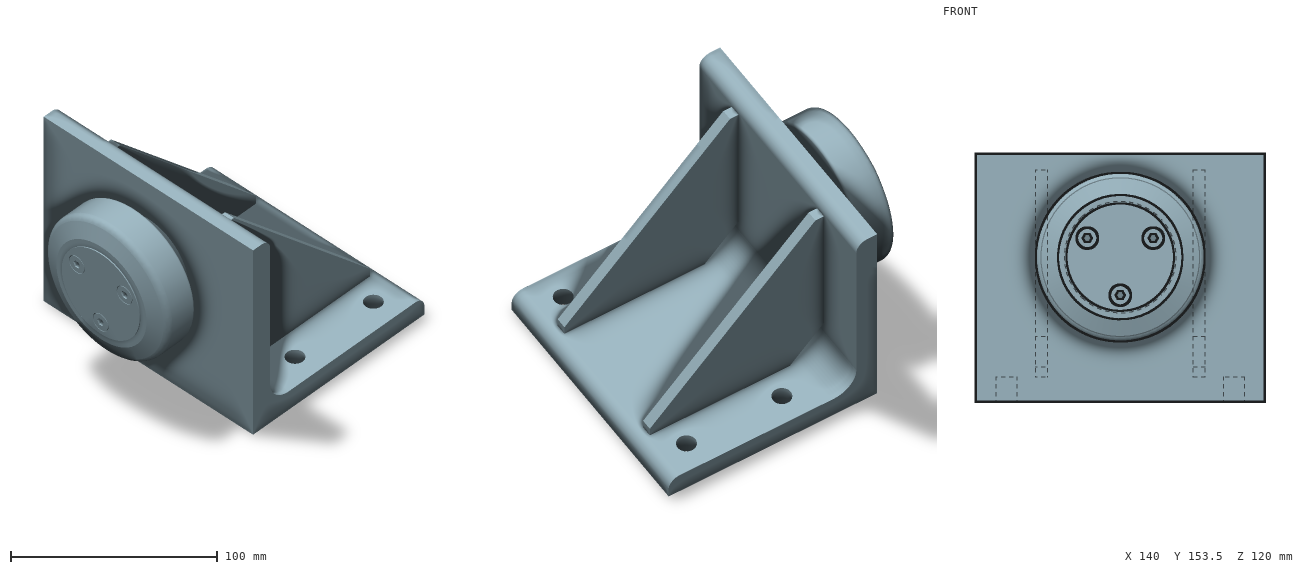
import cadquery as cq
import math

width = 140.0
leg = 120.0
thickness = 12.0
root_radius = 13.0
toe_radius = 6.5

rib_thickness = 6.0
rib_offset = 38.0
rib_setback = 7.8
rib_end_height = 4.9
rib_corner_cut = 19.6

hole_diameter = 10.1
hole_pitch_x = 109.9
hole_pitch_y = 55.0
hole_edge_distance = 20.0

overall_depth = 153.5
roller_height = 70.0
boss_diameter = 54.0
boss_length = 8.9
pin_diameter = 52.0
pin_end = overall_depth - leg
wheel_diameter = 81.7
wheel_back = 10.0
wheel_shoulder = 28.7
wheel_front = 32.8
wheel_face_diameter = 60.2
wheel_back_radius = 1.5
edge_pick_margin = 0.2
wheel_front_radius = 3.8

screw_count = 3
screw_circle_radius = 18.4
screw_bore_diameter = 10.5
screw_head_diameter = 9.8
screw_recess_depth = 1.5
socket_sides = 6
socket_corner_diameter = 4.5
socket_depth = 2.0


def make_bracket():
    """L-section with a rounded root and rounded toes."""
    profile = (
        cq.Workplane("YZ")
        .moveTo(0, 0)
        .lineTo(leg, 0)
        .lineTo(leg, thickness - toe_radius)
        .radiusArc((leg - toe_radius, thickness), -toe_radius)
        .lineTo(thickness + root_radius, thickness)
        .radiusArc((thickness, thickness + root_radius), root_radius)
        .lineTo(thickness, leg - toe_radius)
        .radiusArc((thickness - toe_radius, leg), -toe_radius)
        .lineTo(0, leg)
        .close()
    )
    return profile.extrude(width / 2, both=True)


def make_rib(x_center):
    """Sloping web between the legs, cut back to clear the root."""
    far_end = leg - rib_setback
    outline = [
        (thickness + rib_corner_cut, thickness),
        (far_end, thickness),
        (far_end, thickness + rib_end_height),
        (thickness + rib_end_height, far_end),
        (thickness, far_end),
        (thickness, thickness + rib_corner_cut),
    ]
    rib = cq.Workplane("YZ").polyline(outline).close().extrude(rib_thickness / 2, both=True)
    return rib.translate((x_center, 0, 0))


def make_mounting_holes():
    """Four cutters through the base."""
    hole_center_y = leg - hole_edge_distance - hole_pitch_y / 2
    return (
        cq.Workplane("XY")
        .center(0, hole_center_y)
        .rarray(hole_pitch_x, hole_pitch_y, 2, 2)
        .circle(hole_diameter / 2)
        .extrude(thickness)
    )


def roller_plane(distance):
    """Plane across the roller axis, at a distance out from the wall."""
    return cq.Workplane("XZ", origin=(0, -distance, roller_height))


def make_wheel():
    """Wheel with a rounded back edge and a rounded, tapered front."""
    wheel_radius = wheel_diameter / 2
    profile = [
        (0, -wheel_back),
        (wheel_radius, -wheel_back),
        (wheel_radius, -wheel_shoulder),
        (wheel_face_diameter / 2, -wheel_front),
        (0, -wheel_front),
    ]
    wheel = cq.Workplane("XY").polyline(profile).close().revolve(360, (0, 0), (0, 1))
    wheel = wheel.faces(">Y").edges().fillet(wheel_back_radius)
    shoulder_edge = cq.selectors.BoxSelector(
        (-wheel_radius, -wheel_shoulder - edge_pick_margin, -wheel_radius),
        (wheel_radius, -wheel_shoulder + edge_pick_margin, wheel_radius),
    )
    wheel = wheel.edges(shoulder_edge).fillet(wheel_front_radius)
    return wheel.translate((0, 0, roller_height))


def make_screw_recess(angle):
    """Ring gap around one screw head, plus its hexagonal socket."""
    x = screw_circle_radius * math.cos(angle)
    z = screw_circle_radius * math.sin(angle)
    end_face = cq.Workplane(roller_plane(pin_end).center(x, z).plane)
    gap = (
        end_face
        .circle(screw_bore_diameter / 2)
        .circle(screw_head_diameter / 2)
        .extrude(-screw_recess_depth)
    )
    socket = end_face.polygon(socket_sides, socket_corner_diameter).extrude(-socket_depth)
    return gap.union(socket)


result = make_bracket()
for rib_x in (-rib_offset, rib_offset):
    result = result.union(make_rib(rib_x))
result = result.cut(make_mounting_holes())

boss = roller_plane(0).circle(boss_diameter / 2).extrude(boss_length)
pin = roller_plane(0).circle(pin_diameter / 2).extrude(pin_end)
result = result.union(boss).union(pin).union(make_wheel())

for index in range(screw_count):
    screw_angle = -math.pi / 2 + index * 2 * math.pi / screw_count
    result = result.cut(make_screw_recess(screw_angle))